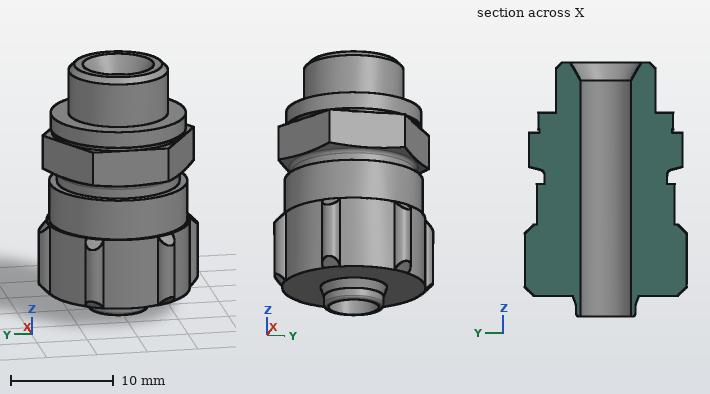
import cadquery as cq
import math

total_height = 24.8
nose_cone_bottom = 1.07
nut_bottom = 2.0
nut_top = 9.0
collar_top = 12.95
hex_bottom_at_flats = 14.33
hex_top = 17.95
flange_bottom = 18.28
flange_top = 19.9

spigot_diameter = 9.72
flange_diameter = 13.2
flange_step_diameter = 13.0
hex_across_flats = 13.0
neck_diameter = 12.0
collar_diameter = 13.5
nut_diameter = 13.95
nose_diameter = 5.83
nose_cone_diameter = 6.5
bore_diameter = 4.9
countersink_diameter = 6.95

spigot_chamfer = 0.57
countersink_angle = 30.0
hex_chamfer_angle = 15.0
neck_fillet = 0.42
nose_tip_fillet = 0.3

rib_count = 6
rib_span = 15.8
rib_diameter = 1.79
rib_chamfer = 0.87


def cylinder(diameter, bottom, top):
    return cq.Workplane("XY").workplane(offset=bottom).circle(diameter / 2).extrude(top - bottom)


def revolve_profile(points):
    """Revolve a closed (radius, height) outline about the Z axis."""
    return cq.Workplane("XZ").polyline(points).close().revolve(360, (0, 0, 0), (0, 1, 0))


def make_spigot():
    return cylinder(spigot_diameter, flange_top, total_height).faces(">Z").chamfer(spigot_chamfer)


def make_hex():
    """Hexagon with corners on the Y axis, its underside coned and blended into the neck."""
    corner_radius = hex_across_flats / math.sqrt(3)
    neck_radius = neck_diameter / 2
    slope = math.tan(math.radians(hex_chamfer_angle))
    flat_radius = hex_across_flats / 2
    cone_bottom = hex_bottom_at_flats - (flat_radius - neck_radius) * slope
    envelope_radius = corner_radius + 0.25
    cone_edge = cone_bottom + (envelope_radius - neck_radius) * slope
    envelope = revolve_profile([
        (0, collar_top),
        (neck_radius, collar_top),
        (neck_radius, cone_bottom),
        (envelope_radius, cone_edge),
        (envelope_radius, hex_top),
        (0, hex_top),
    ])
    neck_corner = cq.selectors.BoxSelector(
        (-envelope_radius, -envelope_radius, cone_bottom - 0.02),
        (envelope_radius, envelope_radius, cone_bottom + 0.02),
    )
    envelope = envelope.edges(neck_corner).edges("%CIRCLE").fillet(neck_fillet)
    prism = (
        cq.Workplane("XY").workplane(offset=collar_top)
        .polygon(6, 2 * corner_radius).extrude(hex_top - collar_top)
        .rotate((0, 0, 0), (0, 0, 1), 90)
    )
    return envelope.intersect(prism)


def make_ribs():
    """Round ribs around the nut, cut by a 45 degree cone at both ends."""
    tip_radius = rib_span / 2
    ribs = (
        cq.Workplane("XY").workplane(offset=nut_bottom)
        .polarArray(tip_radius - rib_diameter / 2, 90, 360, rib_count)
        .circle(rib_diameter / 2).extrude(nut_top - nut_bottom)
    )
    envelope = cylinder(rib_span, nut_bottom, nut_top).faces("<Z or >Z").chamfer(rib_chamfer)
    return ribs.intersect(envelope)


def make_nose():
    nose_radius = nose_diameter / 2
    nose = revolve_profile([
        (0, 0),
        (nose_radius, 0),
        (nose_radius, nose_cone_bottom),
        (nose_cone_diameter / 2, nut_bottom),
        (0, nut_bottom),
    ])
    return nose.faces("<Z").edges().fillet(nose_tip_fillet)


def make_bore():
    bore_radius = bore_diameter / 2
    sink_radius = countersink_diameter / 2
    sink_depth = (sink_radius - bore_radius) / math.tan(math.radians(countersink_angle))
    return revolve_profile([
        (0, 0),
        (bore_radius, 0),
        (bore_radius, total_height - sink_depth),
        (sink_radius, total_height),
        (0, total_height),
    ])


result = (
    make_nose()
    .union(cylinder(nut_diameter, nut_bottom, nut_top))
    .union(make_ribs())
    .union(cylinder(collar_diameter, nut_top, collar_top))
    .union(make_hex())
    .union(cylinder(flange_step_diameter, hex_top, flange_bottom))
    .union(cylinder(flange_diameter, flange_bottom, flange_top))
    .union(make_spigot())
    .cut(make_bore())
)